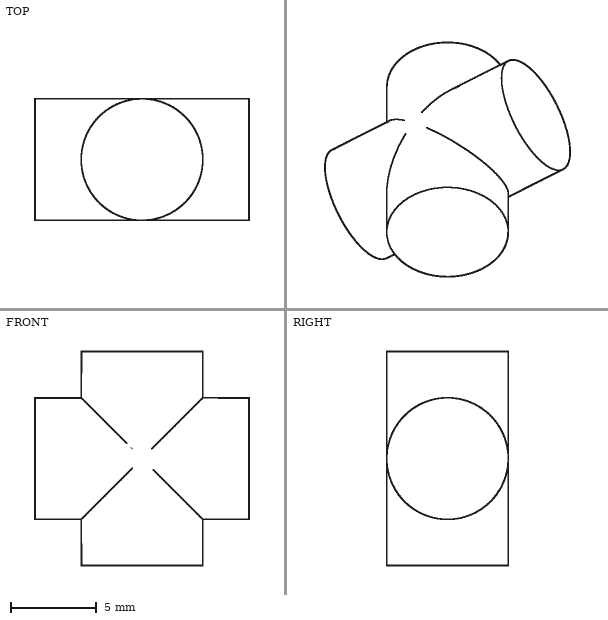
import cadquery as cq

ARM_LENGTH = 12.5
ARM_DIAMETER = 7.1


def centred_cylinder(plane):
    """Solid round bar centred on the origin, running along the plane's normal."""
    return cq.Workplane(plane).circle(ARM_DIAMETER / 2).extrude(ARM_LENGTH / 2, both=True)


horizontal_bar = centred_cylinder("YZ")
vertical_bar = centred_cylinder("XY")

result = horizontal_bar.union(vertical_bar)